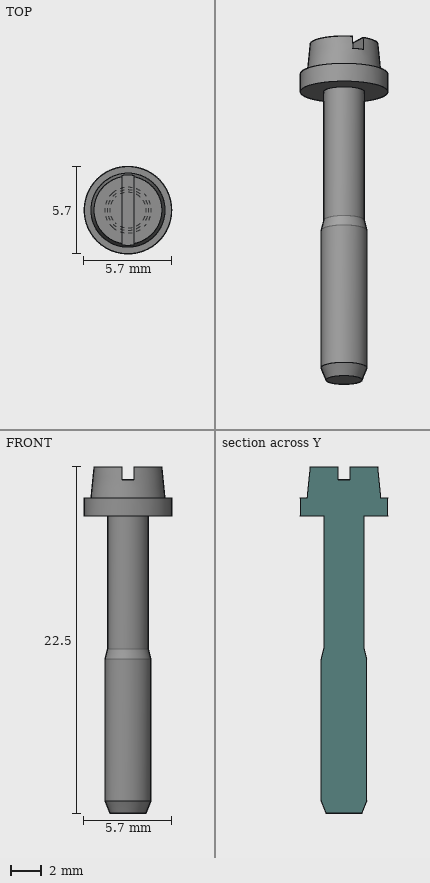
import cadquery as cq

total_length = 22.5
tip_height = 0.8
thread_top = 10.01
taper_height = 0.68
collar_thickness = 1.2
head_height = 2.0

tip_diameter = 2.35
thread_diameter = 3.0
shank_diameter = 2.65
collar_diameter = 5.7
head_base_diameter = 4.82
head_top_diameter = 4.4

slot_width = 0.76
slot_depth = 0.83

collar_top = total_length - head_height
collar_bottom = collar_top - collar_thickness


def turned_body():
    """Revolve the half profile of the screw around the Z axis."""
    profile = [
        (0, 0),
        (tip_diameter / 2, 0),
        (thread_diameter / 2, tip_height),
        (thread_diameter / 2, thread_top),
        (shank_diameter / 2, thread_top + taper_height),
        (shank_diameter / 2, collar_bottom),
        (collar_diameter / 2, collar_bottom),
        (collar_diameter / 2, collar_top),
        (head_base_diameter / 2, collar_top),
        (head_top_diameter / 2, total_length),
        (0, total_length),
    ]
    return cq.Workplane("XZ").polyline(profile).close().revolve(360, (0, 0), (0, 1))


def driver_slot():
    """Straight slot along Y, open at the top and both sides of the head."""
    return (
        cq.Workplane("XY")
        .workplane(offset=total_length - slot_depth)
        .rect(slot_width, collar_diameter)
        .extrude(slot_depth)
    )


result = turned_body().cut(driver_slot())